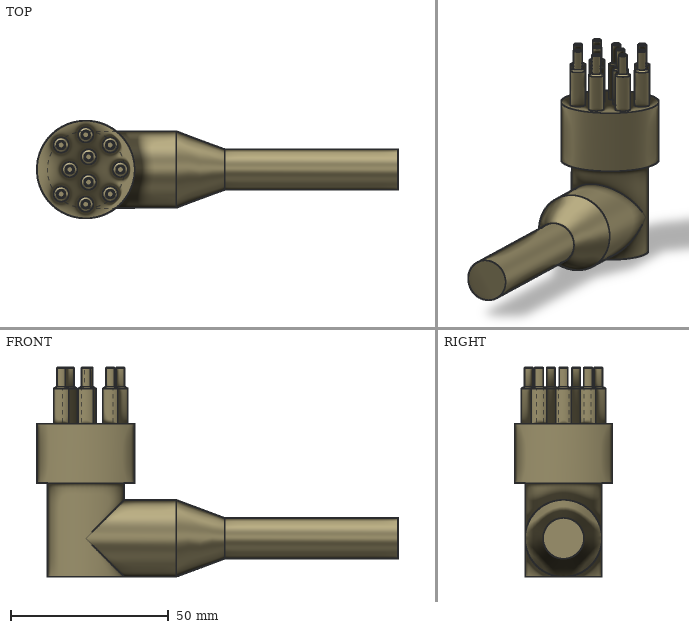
import cadquery as cq
import math

total_length = 114.6
total_height = 66.5

body_diameter = 24.4
head_diameter = 31.0
head_bottom = 29.7
head_top = 48.6

outlet_axis_height = body_diameter / 2
head_left = -head_diameter / 2
cable_end = head_left + total_length
cable_diameter = 13.0
taper_start = 28.6
taper_length = 15.4
taper_end = taper_start + taper_length

pin_base_diameter = 4.8
pin_tip_diameter = 2.8
pin_base_height = 11.1
pin_shoulder_height = 0.6
pin_tip_chamfer = 0.3

outer_pin_circle_radius = 11.0
outer_places = 8
empty_place = 4
inner_left_pin_x = -5.0
inner_pair_x = 0.9
inner_pair_y = 4.0


def upright_cylinder(diameter, bottom, top):
    return cq.Workplane("XY").workplane(offset=bottom).circle(diameter / 2).extrude(top - bottom)


def make_outlet():
    """Outlet barrel, taper and cable, revolved about the horizontal axis."""
    profile = (
        cq.Workplane("XZ")
        .moveTo(0, 0)
        .lineTo(0, body_diameter / 2)
        .lineTo(taper_start, body_diameter / 2)
        .lineTo(taper_end, cable_diameter / 2)
        .lineTo(cable_end, cable_diameter / 2)
        .lineTo(cable_end, 0)
        .close()
    )
    outlet = profile.revolve(360, (0, 0, 0), (1, 0, 0))
    return outlet.translate((0, 0, outlet_axis_height))


def make_pin():
    """One contact pin, revolved about its own axis, standing on the head face."""
    base_radius = pin_base_diameter / 2
    tip_radius = pin_tip_diameter / 2
    shoulder_bottom = head_top + pin_base_height
    profile = (
        cq.Workplane("XZ")
        .moveTo(0, head_top)
        .lineTo(base_radius, head_top)
        .lineTo(base_radius, shoulder_bottom)
        .lineTo(tip_radius, shoulder_bottom + pin_shoulder_height)
        .lineTo(tip_radius, total_height - pin_tip_chamfer)
        .lineTo(tip_radius - pin_tip_chamfer, total_height)
        .lineTo(0, total_height)
        .close()
    )
    return profile.revolve(360, (0, 0, 0), (0, 1, 0))


def pin_positions():
    positions = [
        (inner_left_pin_x, 0),
        (inner_pair_x, inner_pair_y),
        (inner_pair_x, -inner_pair_y),
    ]
    for place in range(outer_places):
        if place != empty_place:
            angle = 2 * math.pi * place / outer_places
            x = outer_pin_circle_radius * math.cos(angle)
            y = outer_pin_circle_radius * math.sin(angle)
            positions.append((x, y))
    return positions


body = upright_cylinder(body_diameter, 0, head_bottom)
head = upright_cylinder(head_diameter, head_bottom, head_top)
result = body.union(make_outlet()).union(head)

pin = make_pin()
for x, y in pin_positions():
    result = result.union(pin.translate((x, y, 0)))